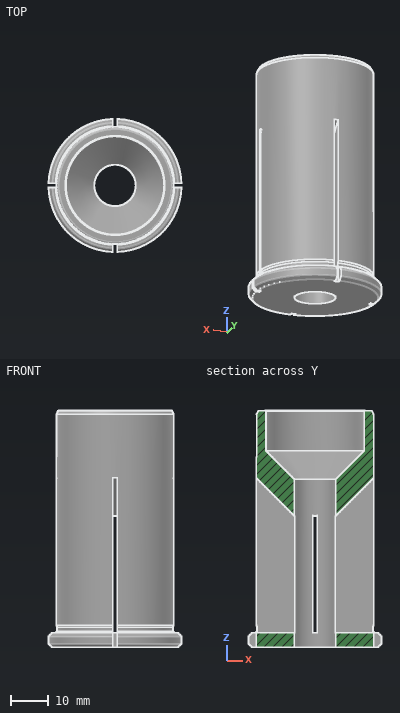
import cadquery as cq
import math

total_height = 64.0
body_radius = 31.75 / 2
bore_radius = 11.11 / 2

flange_radius = 36.0 / 2
flange_height = 4.0
flange_chamfer = 1.0
flange_edge_round = 0.3

groove_depth = 0.2
groove_radius = body_radius - groove_depth
groove_top = 6.0
groove_taper_height = 0.6
groove_foot_chamfer = 0.4

lead_in_width = 0.5
lead_in_height = 1.0
rim_round = 0.3

cup_radius = 26.5 / 2
cup_depth = 10.9
cup_edge_chamfer = 0.2
cone_angle = math.radians(45)

slot_count = 4
slot_width = 1.1
slot_outer_top = 45.8
slot_roof_angle = math.radians(45)
flange_slot_floor_radius = body_radius


def make_flange():
    """Solid flange disc with chamfered rims and lightly rounded corners."""
    disc = cq.Workplane("XY").circle(flange_radius).extrude(flange_height)
    disc = disc.edges("%CIRCLE").chamfer(flange_chamfer)
    return disc.edges("%CIRCLE").fillet(flange_edge_round)


def make_body():
    """Revolve the solid body above the flange: groove, cylinder, tapered and rounded rim."""
    profile = [
        (0, flange_height),
        (groove_radius + groove_foot_chamfer, flange_height),
        (groove_radius, flange_height + groove_foot_chamfer),
        (groove_radius, groove_top - groove_taper_height),
        (body_radius, groove_top),
        (body_radius, total_height - lead_in_height),
        (body_radius - lead_in_width, total_height),
        (0, total_height),
    ]
    body = cq.Workplane("XZ").polyline(profile).close().revolve(360, (0, 0), (0, 1))
    return body.edges(">Z").fillet(rim_round)


def make_cavity():
    """Revolve the cup, its conical floor and the through bore."""
    cone_top = total_height - cup_depth
    cone_bottom = cone_top - (cup_radius - bore_radius) / math.tan(cone_angle)
    profile = [
        (0, 0),
        (bore_radius, 0),
        (bore_radius, cone_bottom),
        (cup_radius, cone_top),
        (cup_radius, total_height - cup_edge_chamfer),
        (cup_radius + cup_edge_chamfer, total_height),
        (0, total_height),
    ]
    return cq.Workplane("XZ").polyline(profile).close().revolve(360, (0, 0), (0, 1))


def make_slot():
    """Slot on the +X side: sloping roof, open to the bore above the flange, shallow across the flange."""
    roof_drop = body_radius * math.tan(slot_roof_angle)
    roof_rise = (flange_radius - body_radius) * math.tan(slot_roof_angle)
    profile = [
        (0, flange_height),
        (flange_slot_floor_radius, flange_height),
        (flange_slot_floor_radius, 0),
        (flange_radius, 0),
        (flange_radius, slot_outer_top + roof_rise),
        (0, slot_outer_top - roof_drop),
    ]
    return cq.Workplane("XZ").polyline(profile).close().extrude(slot_width / 2, both=True)


def make_sleeve():
    sleeve = make_flange().union(make_body()).cut(make_cavity())
    slot = make_slot()
    for index in range(slot_count):
        angle = index * 360 / slot_count
        sleeve = sleeve.cut(slot.rotate((0, 0, 0), (0, 0, 1), angle))
    return sleeve


result = make_sleeve()